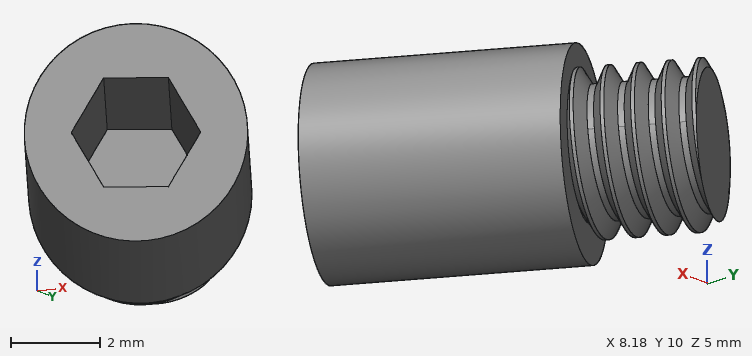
import cadquery as cq
import math

head_diameter = 5.0
head_length = 6.0
socket_across_flats = 2.5
socket_depth = 5.0

thread_length = 3.0
crest_diameter = 3.91
root_diameter = 3.11
pitch = 0.7
crest_width = pitch / 8
flank_angle = 30.0

axis_tilt = 30.0

total_length = head_length + thread_length
crest_radius = crest_diameter / 2
root_radius = root_diameter / 2
root_overlap = 0.05


def make_head():
    """Cylinder standing on the origin, with the hex socket in its bottom face."""
    corner_diameter = socket_across_flats / math.cos(math.radians(30))
    socket = cq.Workplane("XY").polygon(6, corner_diameter).extrude(socket_depth)
    return cq.Workplane("XY").circle(head_diameter / 2).extrude(head_length).cut(socket)


def make_thread_ridge():
    """Helical ridge, from inside the head to beyond the tip."""
    top_crest = total_length - crest_width / 2
    turns = math.ceil(thread_length / pitch) + 2
    start = top_crest + pitch - turns * pitch

    base_radius = root_radius - root_overlap
    half_crest = crest_width / 2
    half_base = half_crest + (crest_radius - base_radius) * math.tan(math.radians(flank_angle))
    profile = (
        cq.Workplane("XZ", origin=(0, 0, start))
        .moveTo(base_radius, -half_base)
        .lineTo(crest_radius, -half_crest)
        .lineTo(crest_radius, half_crest)
        .lineTo(base_radius, half_base)
        .close()
    )
    helix = cq.Wire.makeHelix(pitch, turns * pitch, root_radius, center=cq.Vector(0, 0, start))
    return profile.sweep(cq.Workplane(obj=helix), isFrenet=True)


def make_threaded_end():
    """Core and ridge, both cut off square at the head and at the tip."""
    base = cq.Workplane("XY").workplane(offset=head_length)
    core = base.circle(root_radius).extrude(thread_length)
    envelope = base.circle(head_diameter / 2).extrude(thread_length)
    return core.union(make_thread_ridge().intersect(envelope))


screw = make_head().union(make_threaded_end())

result = screw.rotate((0, 0, 0), (1, 0, 0), -90).rotate((0, 0, 0), (0, 0, 1), axis_tilt)